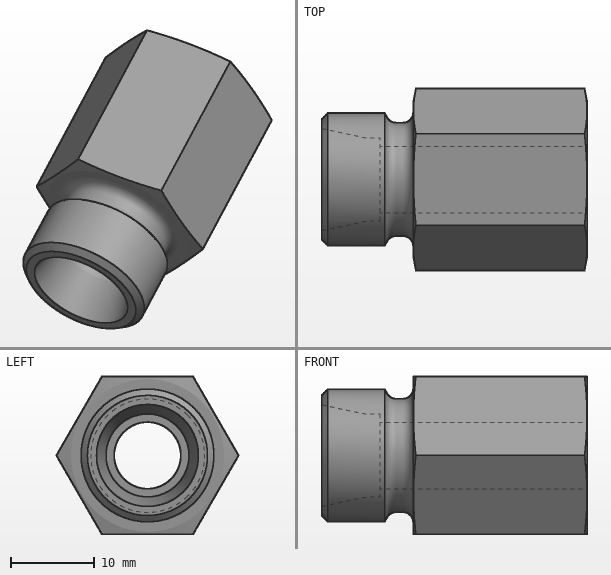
import cadquery as cq
import math

length = 32.0
hex_start = 11.0
across_flats = 19.0
hex_face_diameter = 18.4
hex_chamfer_angle = 11.0

spigot_diameter = 16.0
spigot_chamfer = 0.77
groove_diameter = 13.7
groove_fillet = 1.2
groove_start = 7.6
groove_wall_angle = 60.0

cone_mouth_diameter = 12.3
seat_diameter = 10.0
cone_half_angle = 12.0
socket_depth = 7.0
bore_diameter = 8.0


def revolve_about_x(profile):
    return profile.close().revolve(360, (0, 0, 0), (1, 0, 0))


def make_spigot():
    """Chamfered spigot with a relief groove blending into the hexagon face."""
    radius = spigot_diameter / 2
    groove_radius = groove_diameter / 2
    wall = math.radians(groove_wall_angle)
    arc_center_radius = groove_radius + groove_fillet

    wall_end_radius = arc_center_radius - groove_fillet * math.cos(wall)
    wall_end = groove_start + (radius - wall_end_radius) / math.tan(wall)
    floor_start = wall_end + groove_fillet * math.sin(wall)
    floor_end = hex_start - groove_fillet
    first_arc_middle = (
        floor_start - groove_fillet * math.sin(wall / 2),
        arc_center_radius - groove_fillet * math.cos(wall / 2),
    )
    second_arc_middle = (
        floor_end + groove_fillet * math.sin(math.pi / 4),
        arc_center_radius - groove_fillet * math.cos(math.pi / 4),
    )

    profile = (
        cq.Workplane("XY")
        .moveTo(0, 0)
        .lineTo(0, radius - spigot_chamfer)
        .lineTo(spigot_chamfer, radius)
        .lineTo(groove_start, radius)
        .lineTo(wall_end, wall_end_radius)
        .threePointArc(first_arc_middle, (floor_start, groove_radius))
        .lineTo(floor_end, groove_radius)
        .threePointArc(second_arc_middle, (hex_start, arc_center_radius))
        .lineTo(hex_start, 0)
    )
    return revolve_about_x(profile)


def make_hexagon():
    """Hexagon with flats facing +Z and -Z, its corners turned down at both ends."""
    corner_diameter = across_flats / math.cos(math.pi / 6)
    prism = (
        cq.Workplane("YZ")
        .workplane(offset=hex_start)
        .polygon(6, corner_diameter)
        .extrude(length - hex_start)
    )
    face_radius = hex_face_diameter / 2
    corner_radius = corner_diameter / 2
    chamfer_length = (corner_radius - face_radius) * math.tan(math.radians(hex_chamfer_angle))
    envelope = (
        cq.Workplane("XY")
        .moveTo(hex_start, 0)
        .lineTo(hex_start, face_radius)
        .lineTo(hex_start + chamfer_length, corner_radius)
        .lineTo(length - chamfer_length, corner_radius)
        .lineTo(length, face_radius)
        .lineTo(length, 0)
    )
    return prism.intersect(revolve_about_x(envelope))


def make_passage():
    """Conical tube socket, straight seat and through bore as one cutter."""
    mouth_radius = cone_mouth_diameter / 2
    seat_radius = seat_diameter / 2
    bore_radius = bore_diameter / 2
    cone_depth = (mouth_radius - seat_radius) / math.tan(math.radians(cone_half_angle))
    profile = (
        cq.Workplane("XY")
        .moveTo(0, 0)
        .lineTo(0, mouth_radius)
        .lineTo(cone_depth, seat_radius)
        .lineTo(socket_depth, seat_radius)
        .lineTo(socket_depth, bore_radius)
        .lineTo(length, bore_radius)
        .lineTo(length, 0)
    )
    return revolve_about_x(profile)


result = make_spigot().union(make_hexagon()).cut(make_passage())